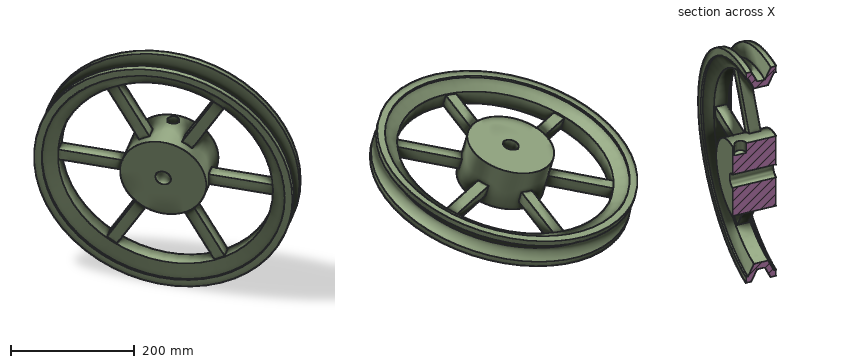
import cadquery as cq

rim_radius = 216.0
rim_width = 52.2
lip_width = 9.5
groove_floor_radius = 193.5
groove_floor_width = 13.0
bevel_radius = 203.0
bevel_start = 3.5
inner_radius = 179.5

hub_radius = 72.0
hub_length = 75.5
bore_diameter = 26.0
set_hole_diameter = 20.0
set_hole_y = 61.7
set_hole_depth = 20.0

spoke_count = 6
spoke_size = 20.0
rim_overlap = 4.5

groove_floor_start = (rim_width - groove_floor_width) / 2
bevel_end = bevel_start + groove_floor_start - lip_width


def make_rim():
    """Grooved rim with a bevelled inside on both faces, revolved about Y."""
    return (
        cq.Workplane("XY")
        .moveTo(bevel_radius, 0)
        .lineTo(rim_radius, 0)
        .lineTo(rim_radius, lip_width)
        .lineTo(groove_floor_radius, groove_floor_start)
        .lineTo(groove_floor_radius, rim_width - groove_floor_start)
        .lineTo(rim_radius, rim_width - lip_width)
        .lineTo(rim_radius, rim_width)
        .lineTo(bevel_radius, rim_width)
        .lineTo(bevel_radius, rim_width - bevel_start)
        .lineTo(inner_radius, rim_width - bevel_end)
        .lineTo(inner_radius, bevel_end)
        .lineTo(bevel_radius, bevel_start)
        .close()
        .revolve(360, (0, 0, 0), (0, 1, 0))
    )


def cylinder_along_y(radius, length):
    """Cylinder on the wheel axis, starting at the front face."""
    return cq.Workplane("XZ").circle(radius).extrude(-length)


def make_spoke(angle):
    """Square bar from the wheel axis into the rim, centred in the rim width."""
    length = inner_radius + rim_overlap
    return (
        cq.Workplane("XY")
        .box(length, spoke_size, spoke_size, centered=(False, True, True))
        .translate((0, rim_width / 2, 0))
        .rotate((0, 0, 0), (0, 1, 0), angle)
    )


wheel = make_rim().union(cylinder_along_y(hub_radius, hub_length))
for index in range(spoke_count):
    wheel = wheel.union(make_spoke(index * 360 / spoke_count))

bore = cylinder_along_y(bore_diameter / 2, hub_length)

set_hole = (
    cq.Workplane("XY", origin=(0, set_hole_y, hub_radius - set_hole_depth))
    .circle(set_hole_diameter / 2)
    .extrude(set_hole_depth)
)

result = wheel.cut(bore).cut(set_hole)